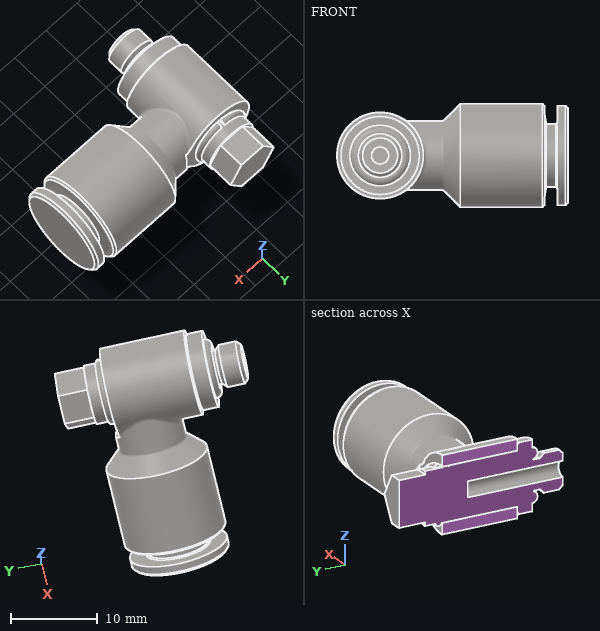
import cadquery as cq
import math


barrel_radius = 5.0
barrel_back = 3.47
barrel_front = -6.51
bore_radius = 3.47

arm_radius = 4.0
arm_root_fillet = 0.5
arm_root_radius = barrel_radius + arm_root_fillet
socket_radius = 5.995
socket_start = 9.26
cone_length = socket_radius - arm_radius
cone_fillet = 0.4
socket_chamfer_start = 18.72
socket_end = 18.98
socket_chamfer = socket_end - socket_chamfer_start
nose_radius = 4.95
nose_end = 19.2
sleeve_radius = 3.65
sleeve_end = 20.3
flange_start = 20.45
flange_root_radius = sleeve_radius + flange_start - sleeve_end
flange_radius = 5.77
flange_end = 21.7
flange_chamfer = 0.32

hex_across_flats = 6.0
hex_back = 9.15
hex_front = 5.7
shank_radius = bore_radius
collar_radius = 4.5
collar_relief_radius = 4.4
collar_relief_length = 0.15
collar_front = -8.52
stem_radius = 1.98
stem_front = -9.5
thread_radius = 2.5
thread_back = stem_front - (thread_radius - stem_radius)
thread_front = -12.55
tip_chamfer = 0.48
passage_radius = 1.0

seal_outer_radius = 3.5
seal_tube_radius = (seal_outer_radius - stem_radius) / 2
seal_front = -9.25
ring_tube_radius = 0.43
ring_outer_radius = 3.85
ring_gap = 0.45


def y_cylinder(radius, back, front):
    """Cylinder on the bolt axis between two Y positions."""
    return cq.Workplane("XZ", origin=(0, back, 0)).circle(radius).extrude(back - front)


def y_torus(outer_radius, tube_radius, y_center):
    """Round bead around the bolt axis."""
    return (
        cq.Workplane("XY")
        .center(outer_radius - tube_radius, y_center)
        .circle(tube_radius)
        .revolve(360, (tube_radius - outer_radius, 0), (tube_radius - outer_radius, 1))
    )


def make_arm_root():
    """Barrel and arm stub blended together, then trimmed behind the barrel end."""
    blend_back = arm_root_radius + barrel_radius
    barrel = y_cylinder(barrel_radius, blend_back, barrel_front)
    stub = cq.Workplane("YZ").circle(arm_radius).extrude(socket_start - cone_length / 2)
    root = barrel.union(stub)
    margin = 0.27
    blend_edges = cq.selectors.BoxSelector(
        (margin, -arm_radius - margin, -arm_radius - margin),
        (barrel_radius + margin, arm_radius + margin, arm_radius + margin),
        boundingbox=True,
    )
    root = root.edges(blend_edges).fillet(arm_root_fillet)
    return root.cut(y_cylinder(arm_root_radius, blend_back, barrel_back))


def make_arm_outer():
    """Cone, tube socket, nose, release sleeve and flange as one revolved outline."""
    cone_start = socket_start - cone_length
    tangent = cone_fillet * math.tan(math.pi / 8)
    slope = tangent * math.sqrt(0.5)
    bend_mid_x = cone_start - tangent + cone_fillet * math.sin(math.pi / 8)
    bend_mid_radius = arm_radius + cone_fillet * (1 - math.cos(math.pi / 8))
    return (
        cq.Workplane("XY")
        .moveTo(cone_start - tangent, 0)
        .lineTo(cone_start - tangent, arm_radius)
        .threePointArc((bend_mid_x, bend_mid_radius), (cone_start + slope, arm_radius + slope))
        .lineTo(socket_start, socket_radius)
        .lineTo(socket_chamfer_start, socket_radius)
        .lineTo(socket_end, socket_radius - socket_chamfer)
        .lineTo(socket_end, nose_radius)
        .lineTo(nose_end, sleeve_radius)
        .lineTo(sleeve_end, sleeve_radius)
        .lineTo(flange_start, flange_root_radius)
        .lineTo(flange_start, flange_radius)
        .lineTo(flange_end - flange_chamfer, flange_radius)
        .lineTo(flange_end, flange_radius - flange_chamfer)
        .lineTo(flange_end, 0)
        .close()
        .revolve(360, (0, 0), (1, 0))
    )


def make_housing():
    """Elbow housing with a through bore for the bolt."""
    bore = y_cylinder(bore_radius, barrel_back, barrel_front)
    return make_arm_root().union(make_arm_outer()).cut(bore)


def make_retaining_ring():
    """Split bead resting on the back end of the barrel, open on the +Z side."""
    ring = y_torus(ring_outer_radius, ring_tube_radius, barrel_back + ring_tube_radius)
    gap_height = 2 * ring_outer_radius
    gap = cq.Workplane("XY").box(ring_gap, 2 * hex_back, gap_height, centered=(True, True, False))
    return ring.cut(gap)


def make_bolt():
    """Banjo bolt: turned body, hexagon head, seal bead, retaining bead and air passage."""
    turned = (
        cq.Workplane("XY")
        .moveTo(0, hex_front)
        .lineTo(shank_radius, hex_front)
        .lineTo(shank_radius, barrel_front)
        .lineTo(collar_relief_radius, barrel_front)
        .lineTo(collar_relief_radius, barrel_front - collar_relief_length)
        .lineTo(collar_radius, barrel_front - collar_relief_length)
        .lineTo(collar_radius, collar_front)
        .lineTo(stem_radius, collar_front)
        .lineTo(stem_radius, stem_front)
        .lineTo(thread_radius, thread_back)
        .lineTo(thread_radius, thread_front + tip_chamfer)
        .lineTo(thread_radius - tip_chamfer, thread_front)
        .lineTo(0, thread_front)
        .close()
        .revolve(360, (0, 0), (0, 1))
    )
    hex_across_corners = hex_across_flats / math.cos(math.pi / 6)
    head = (
        cq.Workplane("XZ", origin=(0, hex_back, 0))
        .polygon(6, hex_across_corners)
        .extrude(hex_back - hex_front)
    )
    seal = y_torus(seal_outer_radius, seal_tube_radius, seal_front + seal_tube_radius)
    passage = y_cylinder(passage_radius, 0, thread_front)
    return turned.union(head).union(seal).union(make_retaining_ring()).cut(passage)


housing = make_housing()
bolt = make_bolt()

result = cq.Compound.makeCompound([housing.val(), bolt.val()])